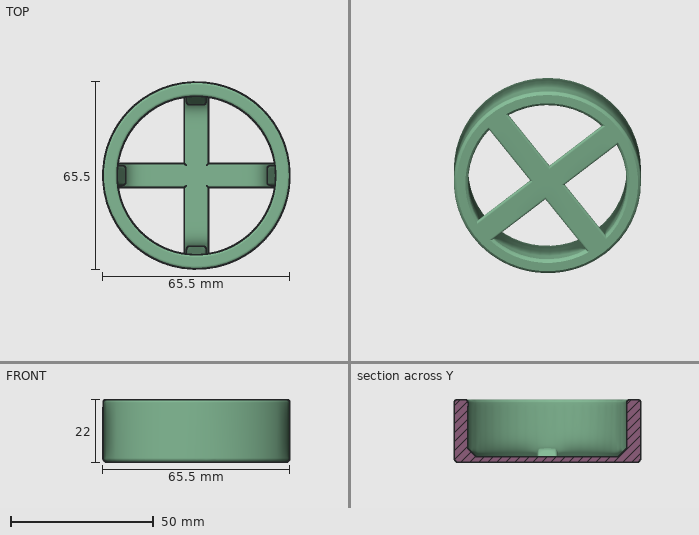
import cadquery as cq

outer_diameter = 65.5
inner_diameter = 55.5
height = 22.0
rim_fillet = 1.0
bottom_chamfer = 1.0
chamfer_blend = 1.0

spoke_width = 8.5
spoke_thickness = 2.0
spoke_fillet = 0.75
spoke_count = 4

stop_width = spoke_width - 2 * spoke_fillet
stop_reach = 3.0
stop_height = 3.0
stop_fillet = 1.0

outer_radius = outer_diameter / 2
inner_radius = inner_diameter / 2
middle_radius = (outer_radius + inner_radius) / 2


def make_ring():
    """Ring with a rounded top rim and a chamfered bottom whose chamfers blend into the walls."""
    ring = cq.Workplane("XY").circle(outer_radius).circle(inner_radius).extrude(height)
    ring = ring.faces("<Z").edges().chamfer(bottom_chamfer)
    chamfer_top = cq.selectors.BoxSelector(
        (-outer_diameter, -outer_diameter, bottom_chamfer / 2),
        (outer_diameter, outer_diameter, height / 2),
        boundingbox=True,
    )
    ring = ring.edges("%CIRCLE").edges(chamfer_top).fillet(chamfer_blend)
    return ring.faces(">Z").edges().fillet(rim_fillet)


def make_cross():
    """Two crossing bars with rounded long edges, ending inside the ring wall."""
    length = 2 * middle_radius
    centering = (True, True, False)
    bar_x = cq.Workplane("XY").box(length, spoke_width, spoke_thickness, centered=centering)
    bar_y = cq.Workplane("XY").box(spoke_width, length, spoke_thickness, centered=centering)
    long_edges = "not (<X or >X or <Y or >Y)"
    return bar_x.union(bar_y).faces("<Z or >Z").edges(long_edges).fillet(spoke_fillet)


def make_stop():
    """Wedge on the +X spoke, rounded along both sides of its slope."""
    toe = inner_radius - stop_reach
    slope = stop_height / stop_reach
    run = middle_radius - toe
    wedge = (
        cq.Workplane("XZ")
        .moveTo(toe - run, spoke_thickness - run * slope)
        .lineTo(toe + run, spoke_thickness + run * slope)
        .lineTo(toe + run, spoke_thickness - run * slope)
        .close()
        .extrude(stop_width / 2, both=True)
    )
    slope_edges = cq.selectors.ParallelDirSelector(cq.Vector(1, 0, slope))
    wedge = wedge.edges(slope_edges).fillet(stop_fillet)
    upper_region = cq.Workplane("XY", origin=(0, 0, spoke_thickness / 2)).box(
        outer_diameter, outer_diameter, height, centered=(True, True, False)
    )
    return wedge.intersect(upper_region)


result = make_ring().union(make_cross())
for spoke in range(spoke_count):
    angle = spoke * 360 / spoke_count
    result = result.union(make_stop().rotate((0, 0, 0), (0, 0, 1), angle))